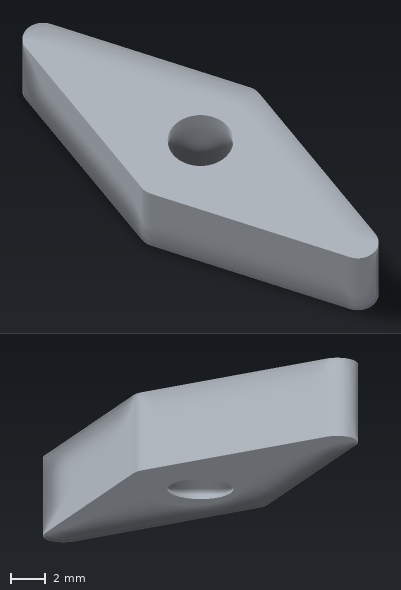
import cadquery as cq
import math

length = 25.0
width = 9.52
thickness = 4.75
hole_diameter = 3.8
acute_angle = math.radians(35.0)

side = width / math.sin(acute_angle)
lean = width / math.tan(acute_angle)
tip_x = (side + lean) / 2
blunt_x = (side - lean) / 2
half_width = width / 2

tip_setback_ratio = 1 / math.tan(acute_angle / 2)
corner_radius = (tip_x - length / 2) / (tip_setback_ratio - 1)

corners = [
    (-tip_x, -half_width),
    (blunt_x, -half_width),
    (tip_x, half_width),
    (-blunt_x, half_width),
]

body = cq.Workplane("XY").polyline(corners).close().extrude(thickness)
body = body.edges("|Z").fillet(corner_radius)

result = body.faces(">Z").workplane(origin=(0, 0, thickness)).hole(hole_diameter)